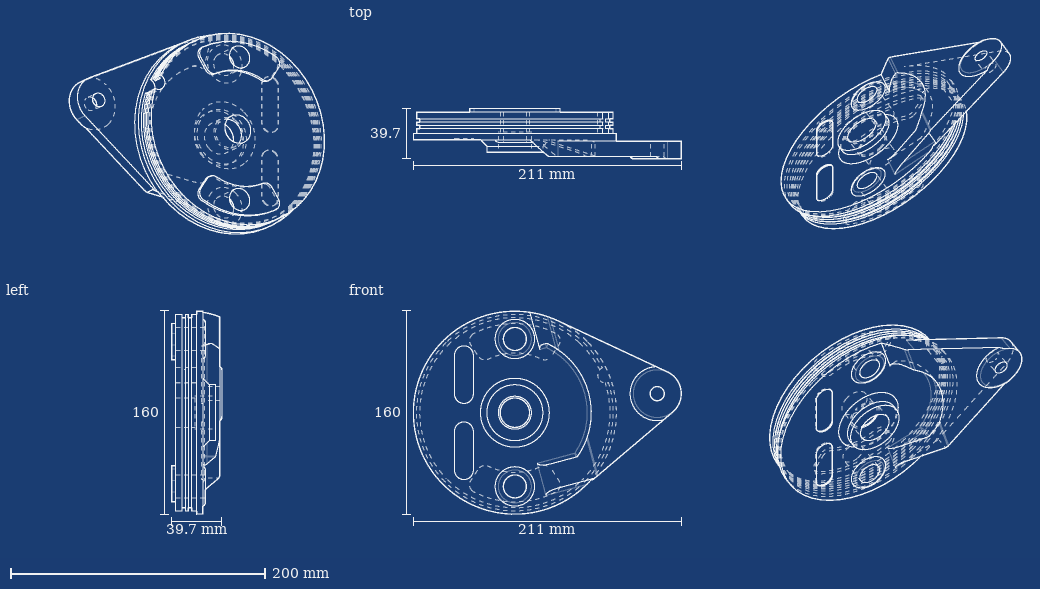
import cadquery as cq
import math

part_length = 211.0

flange_radius = 80.0
flange_back = 5.0
drum_radius = 77.5
drum_back = 21.7
groove_depth = 2.5
groove_width = 2.5
groove_centers = (10.1, 15.2)

notch_angle = 22.5
notch_diameter = 12.7

arm_front = 13.3
arm_gap = 1.0
lug_radius = 19.0
lug_x = part_length - flange_radius - lug_radius
lug_z = 15.0
lug_hole_diameter = 11.0
lug_boss_radius = 18.8
lug_boss_height = 1.7

arm_tilt = 15.0
upper_ramp_foot = 31.9
upper_ramp_top = 45.2
lower_ramp_foot = 6.8
lower_ramp_top = 49.8
ramp_round = 3.0
recess_radius = 60.1
recess_half_width = 46.2
recess_corner = 2.1
rib_outer_side = 66.0
floor_fillet = 3.2

hub_front = 10.0
hub_diameter = 44.0
hub_base_diameter = 54.2
hub_bore_diameter = 26.0
hub_hole_diameter = 23.0
hub_bore_depth = 16.0

pin_offset = 58.0
pin_hole_diameter = 18.0
pin_boss_radius = 12.98
pin_boss_height = 2.0
boss_flare = 2.5
boss_root = 2.1

pad_height = 3.0
pad_inner_radius = 47.0
pad_outer_radius = 70.3
pad_half_angle = 33.0
pad_corner = 6.3

slot_x = -40.0
slot_z = 30.0
slot_length = 45.4
slot_width = 14.8
slot_depth = 1.0

overrun = 10.5
far = 2 * flange_radius


def front_plane(y):
    """Workplane facing -Y at depth y; extrusion goes towards the front."""
    return cq.Workplane("XZ", origin=(0, y, 0))


def polar(radius, angle, center=(0, 0)):
    """Point at an angle in degrees around a centre in the XZ plane."""
    turn = math.radians(angle)
    return (center[0] + radius * math.cos(turn), center[1] + radius * math.sin(turn))


def tilt(shape):
    """Turn a shape about the Y axis by the tilt of the arm."""
    return shape.rotate((0, 0, 0), (0, 1, 0), -arm_tilt)


def make_disc():
    flange = front_plane(flange_back).circle(flange_radius).extrude(flange_back)
    drum = front_plane(drum_back).circle(drum_radius).extrude(drum_back - flange_back)
    for center in groove_centers:
        ring = (
            front_plane(center + groove_width / 2)
            .circle(drum_radius + overrun)
            .circle(drum_radius - groove_depth)
            .extrude(groove_width)
        )
        drum = drum.cut(ring)
    notch = (
        front_plane(drum_back)
        .center(drum_radius, 0)
        .circle(notch_diameter / 2)
        .extrude(drum_back - flange_back)
        .rotate((0, 0, 0), (0, 1, 0), -notch_angle)
    )
    return flange.union(drum.cut(notch))


def make_arm_outline(y, depth):
    """Flange circle and lug circle joined by their common tangents."""
    lug = (lug_x, lug_z)
    direction = math.degrees(math.atan2(lug_z, lug_x))
    spread = math.degrees(math.acos((flange_radius - lug_radius) / math.hypot(lug_x, lug_z)))
    return (
        front_plane(y)
        .moveTo(*polar(flange_radius, direction + spread))
        .threePointArc(
            polar(flange_radius, direction + 180),
            polar(flange_radius, direction - spread),
        )
        .lineTo(*polar(lug_radius, direction - spread, lug))
        .threePointArc(
            polar(lug_radius, 0, lug),
            polar(lug_radius, direction + spread, lug),
        )
        .close()
        .extrude(depth)
    )


def make_ramped_block(foot, top, side):
    """Arm-high block rising along the tilted axis, on the side +1 or -1 of it."""
    block = (
        cq.Workplane("XY")
        .moveTo(foot, 0)
        .lineTo(top, -arm_front)
        .lineTo(far, -arm_front)
        .lineTo(far, 0)
        .close()
        .extrude(side * far)
    )
    at_ramp_top = cq.selectors.NearestToPointSelector((top, -arm_front, side * far / 2))
    return tilt(block.edges(at_ramp_top).fillet(ramp_round))


def make_recess():
    """Round recess with two straight sides, rounded corners and a rounded floor edge."""
    straight = front_plane(0).rect(far, 2 * recess_half_width).extrude(arm_front + overrun)
    recess = front_plane(0).circle(recess_radius).extrude(arm_front + overrun).intersect(straight)
    recess = recess.edges("|Y").fillet(recess_corner)
    return tilt(recess.faces(">Y").edges().fillet(floor_fillet))


def make_rib_side_cut():
    """Clears the flange beyond the outer side of the lower rib."""
    side = (
        front_plane(0)
        .center(0, -rib_outer_side - far / 2)
        .rect(2 * far, far)
        .extrude(arm_front + overrun)
    )
    return tilt(side.faces(">Y").edges(">Z").fillet(floor_fillet))


def make_arm():
    over_flange = front_plane(0).circle(flange_radius).extrude(arm_front)
    beyond_flange = make_arm_outline(-arm_gap, arm_front - arm_gap)
    upper_block = make_ramped_block(upper_ramp_foot, upper_ramp_top, 1)
    lower_block = make_ramped_block(lower_ramp_foot, lower_ramp_top, -1)
    arm = over_flange.union(beyond_flange).intersect(upper_block.union(lower_block))
    return arm.cut(make_recess()).cut(make_rib_side_cut())


def make_flared_boss(radius, height, x, y, z):
    """Low round boss on a base at depth y; its foot flares out in a concave arc, tangent to the base."""
    flare_radius = (boss_flare**2 + height**2) / (2 * height)
    return (
        cq.Workplane("XY")
        .moveTo(0, boss_root)
        .lineTo(radius + boss_flare, boss_root)
        .lineTo(radius + boss_flare, 0)
        .radiusArc((radius, -height), flare_radius)
        .lineTo(0, -height)
        .close()
        .revolve(360, (0, 0), (0, 1))
        .translate((x, y, z))
    )


def make_hub():
    cone_height = (hub_base_diameter - hub_diameter) / 2
    cylinder = front_plane(0).circle(hub_diameter / 2).extrude(hub_front)
    cone = front_plane(0).circle(hub_base_diameter / 2).extrude(cone_height, taper=45)
    return cylinder.union(cone)


def make_pad(middle_angle):
    start = middle_angle - pad_half_angle
    end = middle_angle + pad_half_angle
    return (
        front_plane(drum_back + pad_height)
        .moveTo(*polar(pad_inner_radius, start))
        .lineTo(*polar(pad_outer_radius, start))
        .threePointArc(
            polar(pad_outer_radius, middle_angle),
            polar(pad_outer_radius, end),
        )
        .lineTo(*polar(pad_inner_radius, end))
        .threePointArc(
            polar(pad_inner_radius, middle_angle),
            polar(pad_inner_radius, start),
        )
        .close()
        .extrude(pad_height)
        .edges("|Y")
        .fillet(pad_corner)
    )


def make_through_hole(diameter, x, z):
    return front_plane(far).center(x, z).circle(diameter / 2).extrude(2 * far)


def make_slot(z):
    return (
        front_plane(slot_depth)
        .center(slot_x, z)
        .slot2D(slot_length, slot_width, 90)
        .extrude(slot_depth)
    )


result = make_disc().union(make_arm()).union(make_hub())

lug_boss = make_flared_boss(lug_boss_radius, lug_boss_height, lug_x, -arm_front, lug_z)
result = result.union(lug_boss.intersect(make_arm_outline(-arm_gap, far)))
result = result.cut(make_through_hole(lug_hole_diameter, lug_x, lug_z))

for side in (1, -1):
    pin_z = side * pin_offset
    result = result.union(make_flared_boss(pin_boss_radius, pin_boss_height, 0, 0, pin_z))
    result = result.union(make_pad(side * 90))
    result = result.cut(make_through_hole(pin_hole_diameter, 0, pin_z))
    result = result.cut(make_slot(side * slot_z))

hub_bore = front_plane(hub_bore_depth - hub_front).circle(hub_bore_diameter / 2).extrude(far)
result = result.cut(make_through_hole(hub_hole_diameter, 0, 0)).cut(hub_bore)